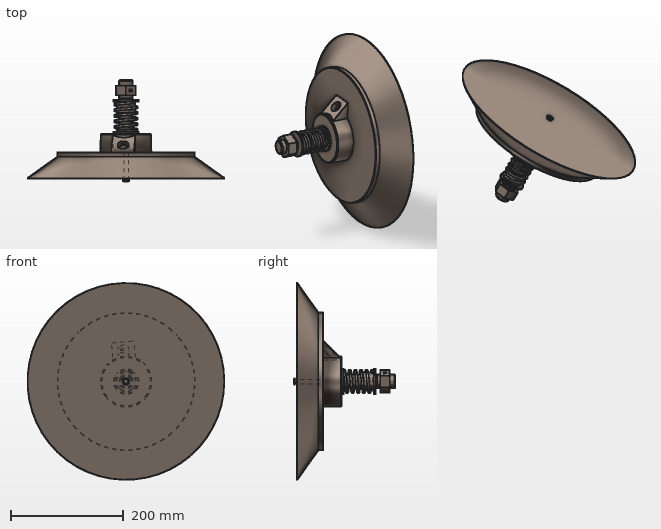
import cadquery as cq
import math


lip_diameter = 348.8
lip_thickness = 1.0
cup_back_diameter = 244.0
cone_height = 38.5
cup_height = 47.0
cup_edge_chamfer = 1.0

housing_diameter = 90.7
housing_draft = 1.0
housing_top = 80.0
housing_chamfer = 2.0
boss_width = 40.0
boss_turn = 5.0
boss_reach = 70.5
port_diameter = 19.5
port_depth = 10.5
port_height = 59.5

rod_diameter = 25.0
rod_top = 174.7
rod_chamfer = 2.0
washer_diameter = 45.0
washer_thickness = 3.5
sleeve_diameter = 33.0
lower_washer_top = housing_top + washer_thickness
lower_collar_top = 87.0
sleeve_bottom = 116.5
upper_washer_top = 139.5
upper_washer_bottom = upper_washer_top - washer_thickness
neck_diameter = 18.5
neck_top = 141.3
neck_chamfer = 1.0

nut_across_flats = 35.5
nut_bottom = 147.5
nut_height = 17.0
nut_corner_chamfer = 1.0
nut_hole_diameter = 5.0
nut_hole_angle = 60.0

pin_diameter = 8.0
pin_head_diameter = 12.0
pin_head_back = -3.0
pin_head_edge = -4.2
pin_tip = -5.5

wire_diameter = 4.2
coil_diameter = 37.5
coil_rise = 50.5
coil_start = 84.0
coil_turns = 5.1
coil_pitch = coil_rise / coil_turns


def revolve_about_y(profile):
    return profile.close().revolve(360, (0, 0, 0), (0, 1, 0))


def disc(diameter, bottom, top):
    """Cylinder on the Y axis between two heights."""
    plane = cq.Plane(origin=(0, bottom, 0), xDir=(1, 0, 0), normal=(0, 1, 0))
    return cq.Workplane(plane).circle(diameter / 2).extrude(top - bottom)


def make_cup():
    lip_radius = lip_diameter / 2
    back_radius = cup_back_diameter / 2
    profile = (
        cq.Workplane("XY")
        .lineTo(lip_radius, 0)
        .lineTo(lip_radius, lip_thickness)
        .lineTo(back_radius, cone_height)
        .lineTo(back_radius, cup_height - cup_edge_chamfer)
        .lineTo(back_radius - cup_edge_chamfer, cup_height)
        .lineTo(0, cup_height)
    )
    pin_hole = disc(pin_diameter, 0, cup_height)
    return revolve_about_y(profile).cut(pin_hole)


def make_port_boss():
    """Wedge with a 45 degree face on the side of the housing."""
    wedge_top = housing_top - housing_chamfer
    top_reach = boss_reach - (wedge_top - cup_height)
    wedge = (
        cq.Workplane("YZ")
        .moveTo(cup_height, 0)
        .lineTo(cup_height, boss_reach)
        .lineTo(wedge_top, top_reach)
        .lineTo(wedge_top, 0)
        .close()
        .extrude(boss_width / 2, both=True)
    )
    return wedge.rotate((0, 0, 0), (0, 1, 0), -boss_turn)


def make_port():
    """Blind port square to the 45 degree face."""
    port_reach = cup_height + boss_reach - port_height
    face = cq.Plane(origin=(0, port_height, port_reach), xDir=(1, 0, 0), normal=(0, 1, 1))
    port = cq.Workplane(face).circle(port_diameter / 2).extrude(-port_depth)
    return port.rotate((0, 0, 0), (0, 1, 0), -boss_turn)


def make_housing():
    foot_radius = housing_diameter / 2
    rim_height = housing_top - housing_chamfer
    rim_radius = foot_radius - (rim_height - cup_height) * math.tan(math.radians(housing_draft))
    drum = revolve_about_y(
        cq.Workplane("XY")
        .moveTo(0, cup_height)
        .lineTo(foot_radius, cup_height)
        .lineTo(rim_radius, rim_height)
        .lineTo(rim_radius - housing_chamfer, housing_top)
        .lineTo(0, housing_top)
    )
    return drum.union(make_port_boss()).cut(make_port())


def make_rod():
    rod = disc(rod_diameter, lower_washer_top, upper_washer_bottom)
    rod = rod.union(disc(washer_diameter, housing_top, lower_washer_top))
    rod = rod.union(disc(sleeve_diameter, lower_washer_top, lower_collar_top))
    rod = rod.union(disc(sleeve_diameter, sleeve_bottom, upper_washer_bottom))
    rod = rod.union(disc(washer_diameter, upper_washer_bottom, upper_washer_top))
    rod = rod.union(disc(neck_diameter, upper_washer_top, neck_top))
    stud = disc(rod_diameter, neck_top, rod_top)
    stud = stud.faces(">Y").chamfer(rod_chamfer).faces("<Y").chamfer(neck_chamfer)
    return rod.union(stud)


def make_nut():
    """Hexagon with two corners on the Z axis, chamfered corners and a hole down to the rod."""
    corner_diameter = nut_across_flats / math.cos(math.pi / 6)
    plane = cq.Plane(origin=(0, nut_bottom, 0), xDir=(0, 0, 1), normal=(0, 1, 0))
    hexagon = cq.Workplane(plane).polygon(6, corner_diameter).extrude(nut_height)
    rounding = disc(corner_diameter, nut_bottom, nut_bottom + nut_height)
    rounding = rounding.faces("<Y or >Y").chamfer(nut_corner_chamfer)
    hexagon = hexagon.intersect(rounding)
    angle = math.radians(nut_hole_angle)
    direction = cq.Vector(math.cos(angle), 0, math.sin(angle))
    start = direction * (rod_diameter / 2) + cq.Vector(0, nut_bottom + nut_height / 2, 0)
    hole = cq.Solid.makeCylinder(nut_hole_diameter / 2, nut_across_flats / 2, start, direction)
    return hexagon.cut(cq.Workplane(hole))


def make_pin():
    """Pin through the cup, ending in a domed head below the sealing face."""
    head_radius = pin_head_diameter / 2
    dome_height = pin_head_edge - pin_tip
    dome_radius = (head_radius**2 + dome_height**2) / (2 * dome_height)
    mid_radius = head_radius / 2
    mid_height = pin_tip + dome_radius - math.sqrt(dome_radius**2 - mid_radius**2)
    head = revolve_about_y(
        cq.Workplane("XY")
        .moveTo(0, pin_tip)
        .threePointArc((mid_radius, mid_height), (head_radius, pin_head_edge))
        .lineTo(head_radius, pin_head_back)
        .lineTo(0, pin_head_back)
    )
    return disc(pin_diameter, pin_head_back, cup_height).union(head)


def make_fitting():
    return make_housing().union(make_rod()).union(make_nut()).union(make_pin())


def make_spring():
    """Coil starting on the +Z side, its ends ground flat against both washers."""
    coil_radius = coil_diameter / 2
    path = cq.Wire.makeHelix(coil_pitch, coil_rise, coil_radius)
    coil = (
        cq.Workplane("XZ", origin=(coil_radius, 0, 0))
        .circle(wire_diameter / 2)
        .sweep(cq.Workplane(path), isFrenet=True)
    )
    coil = coil.rotate((0, 0, 0), (1, 0, 0), -90).rotate((0, 0, 0), (0, 1, 0), -90)
    coil = coil.translate((0, coil_start, 0))
    return coil.intersect(disc(washer_diameter, lower_washer_top, upper_washer_bottom))


cup = make_cup()
fitting = make_fitting()
spring = make_spring()

result = cq.Compound.makeCompound([cup.val(), fitting.val(), spring.val()])